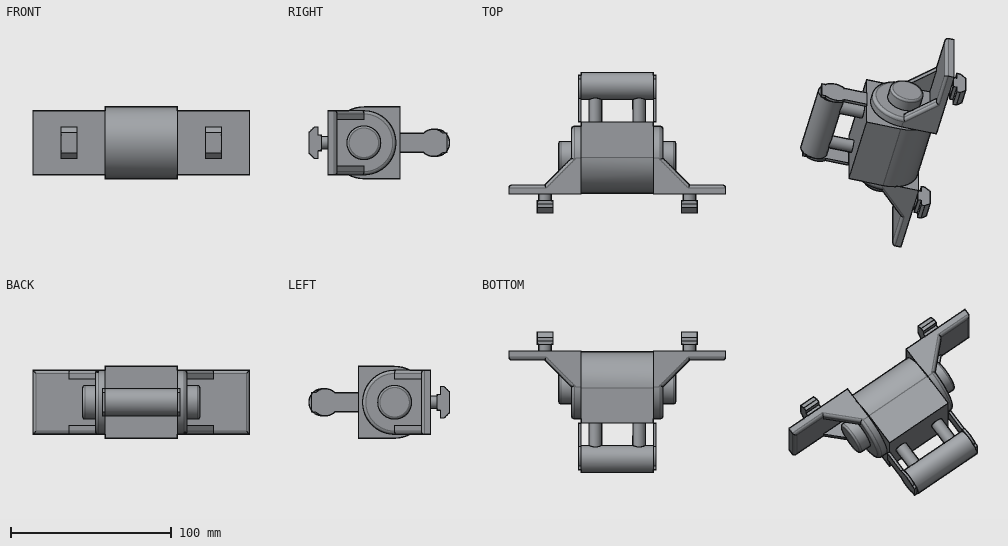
import cadquery as cq

overall_length = 135.0
mount_face_y = -22.4

body_width = 45.0
body_half_width = body_width / 2
body_radius = body_half_width
body_axis_y = 0.5
body_back_y = 22.5

bracket_half_height = 20.0
plate_thickness = 5.8
flange_thickness = 6.1
gusset_thickness = 5.4
bracket_fillet = 2.0
bracket_end_x = overall_length / 2
flange_face_x = body_half_width + flange_thickness
plate_back_y = mount_face_y + plate_thickness
slope_foot_x = flange_face_x - plate_back_y

pin_length = 72.9
pin_radius = 10.5
pin_end_fillet = 1.4

grip_radius = 8.5
grip_axis_y = 45.0
post_diameter = 8.0
post_spacing = 27.3
side_plate_thickness = 1.8
side_plate_height = 12.0
side_disc_offset = 1.8
side_disc_axis_y = grip_axis_y - side_disc_offset
side_plate_gap = 0.07

bolt_spacing = 89.9
shank_diameter = 8.0
shank_length = 4.0
head_width = 10.0
collar_half_height = 5.0
collar_depth = 2.0
head_half_height = 9.9
head_depth = 5.8
head_chamfer = 3.5


def mirror_x(shape):
    """Return the shape joined with its mirror image across the YZ plane."""
    return shape.union(shape.mirror("YZ"))


def x_cylinder(radius, length, axis_y):
    """Cylinder along X, centred on the YZ plane."""
    return cq.Workplane("YZ").center(axis_y, 0).circle(radius).extrude(length / 2, both=True)


def make_body():
    return (
        cq.Workplane("YZ")
        .moveTo(body_back_y, -body_radius)
        .lineTo(body_axis_y, -body_radius)
        .threePointArc((body_axis_y - body_radius, 0), (body_axis_y, body_radius))
        .lineTo(body_back_y, body_radius)
        .close()
        .extrude(body_half_width, both=True)
    )


def make_bracket():
    """+X bracket: round flange and mounting plate tied by two sloping gussets."""
    flange = (
        cq.Workplane("YZ", origin=(body_half_width, 0, 0))
        .circle(bracket_half_height)
        .extrude(flange_thickness)
        .faces(">X")
        .edges()
        .fillet(bracket_fillet)
    )
    plate = (
        cq.Workplane("XZ", origin=(0, plate_back_y, 0))
        .moveTo((body_half_width + bracket_end_x) / 2, 0)
        .rect(bracket_end_x - body_half_width, 2 * bracket_half_height)
        .extrude(plate_thickness)
        .edges(">Y and (|X or >X)")
        .fillet(bracket_fillet)
    )
    wedge = (
        cq.Workplane("XY")
        .moveTo(body_half_width, mount_face_y)
        .lineTo(slope_foot_x + plate_thickness, mount_face_y)
        .lineTo(flange_face_x, 0)
        .lineTo(body_half_width, 0)
        .close()
        .extrude(bracket_half_height, both=True)
    )
    slope = wedge.faces("#Z and (not |X) and (not |Y)")
    rounded_wedge = slope.edges("not |Z").fillet(bracket_fillet)
    pocket = (
        cq.Workplane("XY", origin=(flange_face_x, mount_face_y, 0))
        .rect(bracket_end_x, -mount_face_y, centered=False)
        .extrude(bracket_half_height - gusset_thickness, both=True)
    )
    return rounded_wedge.cut(pocket).union(flange).union(plate)


def make_handle():
    grip = x_cylinder(grip_radius, body_width, grip_axis_y)
    posts = (
        cq.Workplane("XZ", origin=(0, grip_axis_y, 0))
        .pushPoints([(-post_spacing / 2, 0), (post_spacing / 2, 0)])
        .circle(post_diameter / 2)
        .extrude(grip_axis_y - body_back_y)
    )
    strip_start_y = body_back_y + side_plate_gap
    strip_length = side_disc_axis_y + grip_radius - strip_start_y
    side_plane = cq.Workplane("YZ", origin=(body_half_width, 0, 0))
    strip = (
        side_plane.center(strip_start_y + strip_length / 2, 0)
        .rect(strip_length, side_plate_height)
        .extrude(side_plate_thickness)
    )
    disc = side_plane.center(side_disc_axis_y, 0).circle(grip_radius).extrude(side_plate_thickness)
    return grip.union(posts).union(mirror_x(strip.union(disc)))


def make_bolt():
    """+X bolt: round shank, rectangular collar and a T-head with tapered ends."""
    bolt_x = bolt_spacing / 2
    collar_y = mount_face_y - shank_length
    head_y = collar_y - collar_depth
    tip_y = head_y - head_depth
    shank = (
        cq.Workplane("XZ", origin=(bolt_x, mount_face_y, 0))
        .circle(shank_diameter / 2)
        .extrude(shank_length)
    )
    head = (
        cq.Workplane("YZ", origin=(bolt_x, 0, 0))
        .moveTo(collar_y, 0)
        .lineTo(collar_y, collar_half_height)
        .lineTo(head_y, collar_half_height)
        .lineTo(head_y, head_half_height)
        .lineTo(tip_y + head_chamfer, head_half_height)
        .lineTo(tip_y, head_half_height - head_chamfer)
        .lineTo(tip_y, 0)
        .close()
        .extrude(head_width / 2, both=True)
    )
    return shank.union(head).union(head.mirror("XY"))


pin = x_cylinder(pin_radius, pin_length, 0).faces("<X or >X").edges().fillet(pin_end_fillet)

result = (
    make_body()
    .union(pin)
    .union(mirror_x(make_bracket()))
    .union(make_handle())
    .union(mirror_x(make_bolt()))
)